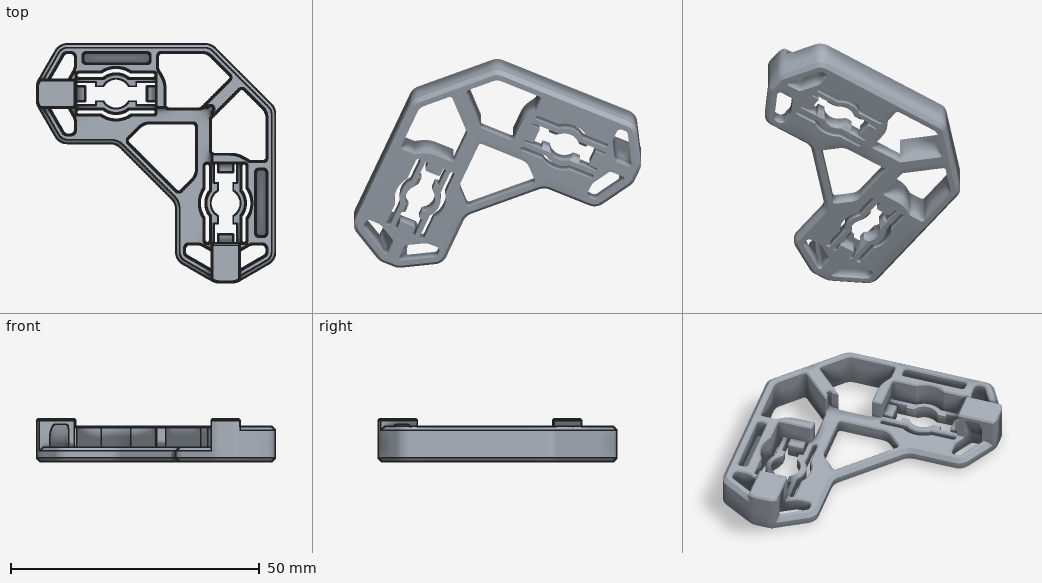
import cadquery as cq
import math

half_size = 24.0
block_height = 8.6
wall_height = 7.1
plate_height = 2.95
outer_chamfer = 0.75
rim_chamfer = 0.3
outer_radius = 2.8
blank_half_size = half_size + 2.4

arm_width = 20.0
arm_center_y = half_size - arm_width / 2
arm_inner_y = half_size - arm_width
tip_half_width = 2.0
tip_angle = math.radians(60)
outer_corner = 11.05
inner_corner = -7.95
frame_width = 1.85

recess_limit = 11.1
relief_center = 10.95
relief_radius = 0.55

cavity_center_x = -8.0
cavity_half_length = 7.9
slot_outer = 4.2
slot_inner = 3.2
slot_outer_radius = 5.15
slot_inner_radius = 4.15
slot_end_radius = 0.45
beam_chamfer = 0.2
opening_half_width = 2.25
tab_half_length = 4.1
tab_inner = 1.5
hole_radius = 3.0
peg_half_width = 1.65
peg_length = 1.8
peg_chamfer = 0.25

block_half_width = 2.95
block_inner_x = -16.1
block_chamfer = 0.35
notch_height = 7.5
notch_back_height = 2.9
notch_depth = 1.75
end_window_radius = 0.85

end_window_wall_x = -16.3
end_window_neck_x = -17.55
small_radius = 0.6
back_wall_x = 1.95
back_wall_neck_x = 0.5
back_wall_bend_y = 16.35
back_wall_bend_radius = 5.3
frame_inner_radius = 2.3
rib_half_width = 1.5
plate_strip = 3.1
throat_offset = 10.4
pocket_center_x = -7.9
pocket_length = 13.25
pocket_width = 1.95
pocket_floor = 2.95
pocket_radius = 0.6


def rounded_profile(corners, z=0.0):
    """Closed outline through (x, y, radius) corners, each rounded by a tangent arc."""
    stretches = []
    for i, (x, y, radius) in enumerate(corners):
        corner = cq.Vector(x, y)
        before = (cq.Vector(*corners[i - 1][:2]) - corner).normalized()
        after = (cq.Vector(*corners[(i + 1) % len(corners)][:2]) - corner).normalized()
        half_angle = before.getAngle(after) / 2
        reach = radius / math.tan(half_angle)
        middle = (before + after).normalized() * (radius / math.sin(half_angle) - radius)
        stretches.append((corner + before * reach, corner + middle, corner + after * reach))
    start = stretches[0][2]
    outline = cq.Workplane("XY").workplane(offset=z).moveTo(start.x, start.y)
    for first, middle, last in stretches[1:] + stretches[:1]:
        outline = outline.lineTo(first.x, first.y)
        outline = outline.threePointArc((middle.x, middle.y), (last.x, last.y))
    return outline.close()


def box(x_min, x_max, y_min, y_max, z_min, z_max):
    size = (x_max - x_min, y_max - y_min, z_max - z_min)
    return cq.Workplane("XY").box(*size, centered=False).translate((x_min, y_min, z_min))


def slab(height):
    """Square blank that reaches past the outline on all sides."""
    return box(-blank_half_size, blank_half_size, -blank_half_size, blank_half_size, 0, height)


def flip(shape):
    """Mirror image in the plane X = Y."""
    return shape.mirror("YZ").rotate((0, 0, 0), (0, 0, 1), -90)


def cut_both(body, cutter):
    return body.cut(cutter).cut(flip(cutter))


def outer_profile():
    tip_run = (arm_width / 2 - tip_half_width) / math.tan(tip_angle)
    shoulder_x = tip_run - half_size
    arm = [
        (outer_corner, half_size),
        (shoulder_x, half_size),
        (-half_size, arm_center_y + tip_half_width),
        (-half_size, arm_center_y - tip_half_width),
        (shoulder_x, arm_inner_y),
        (inner_corner, arm_inner_y),
    ]
    other_arm = [(y, x) for x, y in reversed(arm)]
    return rounded_profile([(x, y, outer_radius) for x, y in arm + other_arm])


def envelope(height, top_chamfer):
    """Outer outline up to the height, chamfered at its bottom and top edges."""
    shape = outer_profile().extrude(height)
    return shape.faces("<Z").edges().chamfer(outer_chamfer).faces(">Z").edges().chamfer(top_chamfer)


def end_window(side):
    """Window beside the end block, on the +Y (1) or -Y (-1) side of the arm."""
    slope = math.tan(tip_angle)
    edge = frame_width / math.sin(tip_angle)
    far = arm_width / 2 - frame_width
    near = block_half_width - notch_depth

    def outer_x(v):
        return -half_size + (v - tip_half_width) / slope + edge

    def inner_x(v):
        return end_window_neck_x + (v - block_half_width) / slope

    bend = block_half_width + (end_window_wall_x - end_window_neck_x) * slope
    corners = [
        (outer_x(far), far, end_window_radius),
        (end_window_wall_x, far, end_window_radius),
        (end_window_wall_x, bend, outer_radius),
        (inner_x(near), near, end_window_radius),
        (outer_x(near), near, small_radius),
    ]
    placed = [(x, arm_center_y + side * v, radius) for x, v, radius in corners]
    return rounded_profile(placed)


def corner_window(lower_y):
    """Window between the back wall of the cavity, the outer frame and the rib, down to lower_y."""
    top = half_size - frame_width
    frame_sum = half_size + outer_corner - frame_width * math.sqrt(2)
    rib_gap = rib_half_width * math.sqrt(2)
    neck_y = back_wall_bend_y + (back_wall_x - back_wall_neck_x) * math.tan(tip_angle)
    corners = [
        (back_wall_neck_x, top, small_radius),
        (frame_sum - top, top, frame_inner_radius),
        ((frame_sum - rib_gap) / 2, (frame_sum + rib_gap) / 2, small_radius),
        (lower_y - rib_gap, lower_y, small_radius),
        (back_wall_x, lower_y, small_radius),
        (back_wall_x, back_wall_bend_y, back_wall_bend_radius),
        (back_wall_neck_x, neck_y, small_radius),
    ]
    return rounded_profile(corners).extrude(block_height)


def inner_window():
    """Window in the plate between the two arms."""
    top = recess_limit - plate_strip
    frame_sum = inner_corner + arm_inner_y + frame_width * math.sqrt(2)
    low = (frame_sum - throat_offset) / 2
    high = (frame_sum + throat_offset) / 2
    corners = [
        (top, top, small_radius),
        (top - throat_offset, top, outer_radius),
        (low, high, small_radius),
        (high, low, small_radius),
        (top, top - throat_offset, outer_radius),
    ]
    return rounded_profile(corners).extrude(block_height)


def pocket():
    center = (pocket_center_x, half_size - frame_width - pocket_width / 2)
    shape = cq.Workplane("XY").center(*center).rect(pocket_length, pocket_width)
    shape = shape.extrude(block_height).edges("|Z").fillet(pocket_radius)
    return shape.translate((0, 0, pocket_floor))


def at_cavity(shape):
    return shape.translate((cavity_center_x, arm_center_y, 0))


def slot():
    """Bulged slot on the +Y side of the cavity center."""
    outer_bulge = math.sqrt(slot_outer_radius**2 - slot_outer**2)
    inner_bulge = math.sqrt(slot_inner_radius**2 - slot_inner**2)
    shape = (
        cq.Workplane("XY")
        .moveTo(-cavity_half_length, slot_inner)
        .lineTo(-inner_bulge, slot_inner)
        .threePointArc((0, slot_inner_radius), (inner_bulge, slot_inner))
        .lineTo(cavity_half_length, slot_inner)
        .lineTo(cavity_half_length, slot_outer)
        .lineTo(outer_bulge, slot_outer)
        .threePointArc((0, slot_outer_radius), (-outer_bulge, slot_outer))
        .lineTo(-cavity_half_length, slot_outer)
        .close()
        .extrude(plate_height)
    )
    shape = shape.edges("|Z and (<X or >X)").fillet(slot_end_radius)
    return shape


def opening():
    """Central opening between the two spring beams, with the end pegs left standing."""
    flared_half_width = opening_half_width + beam_chamfer
    shape = (
        cq.Workplane("YZ")
        .moveTo(-opening_half_width, 0)
        .lineTo(-opening_half_width, plate_height - beam_chamfer)
        .lineTo(-flared_half_width, plate_height)
        .lineTo(flared_half_width, plate_height)
        .lineTo(opening_half_width, plate_height - beam_chamfer)
        .lineTo(opening_half_width, 0)
        .close()
        .extrude(cavity_half_length, both=True)
    )
    tabs = (
        cq.Workplane("YZ")
        .moveTo(tab_inner, block_height)
        .lineTo(tab_inner, opening_half_width - tab_inner)
        .lineTo(opening_half_width, 0)
        .lineTo(slot_inner, 0)
        .lineTo(slot_inner, block_height)
        .close()
        .extrude(tab_half_length, both=True)
    )
    shape = shape.cut(tabs).cut(tabs.mirror("XZ"))
    shape = shape.union(cq.Workplane("XY").circle(hole_radius).extrude(block_height))
    peg = box(
        cavity_half_length - peg_length, cavity_half_length,
        -peg_half_width, peg_half_width,
        0, plate_height,
    )
    peg = peg.edges("<X and |Z").chamfer(peg_chamfer).faces(">Z").edges("not >X").chamfer(peg_chamfer)
    return shape.cut(peg).cut(peg.mirror("YZ"))


def cavity_recess():
    """Space above the plate inside the walls of the cavity."""
    shape = box(-cavity_half_length, cavity_half_length, -slot_outer, slot_outer, 0, block_height)
    shape = shape.edges("|Z and >Y").fillet(slot_end_radius)
    bulge = cq.Workplane("XY").circle(slot_outer_radius).extrude(block_height)
    corner = (cavity_center_x + cavity_half_length, recess_limit)
    bevel = cq.Workplane("XY").center(*corner).polyline(
        [(0, 0), (rim_chamfer, 0), (0, rim_chamfer)]
    )
    bevel = bevel.close().extrude(block_height)
    return at_cavity(shape.union(bulge)).union(bevel)


def center_recess():
    """Low area between the arms, with a round relief in its corner."""
    shape = box(-2 * half_size, recess_limit, -2 * half_size, recess_limit, 0, block_height)
    relief = cq.Workplane("XY").center(relief_center, relief_center).circle(relief_radius)
    return shape.union(relief.extrude(block_height))


def end_block():
    body = box(
        -half_size - 0.5, block_inner_x,
        arm_center_y - block_half_width, arm_center_y + block_half_width,
        0, block_height,
    )
    body = body.edges("|Z and >X and <Y").chamfer(block_chamfer)
    body = body.faces(">Z").edges().chamfer(block_chamfer)
    return body.intersect(envelope(block_height, block_chamfer))


def notch(side):
    """Hollow in the flank of the end block, whose back wall leans out to meet the flank."""
    profile = end_window(side)
    shift = cq.Vector(
        notch_depth / math.tan(tip_angle),
        side * notch_depth,
        notch_height - notch_back_height,
    )
    leaning = cq.Solid.extrudeLinear(profile.val(), [], shift)
    shape = profile.extrude(notch_back_height).union(leaning.translate((0, 0, notch_back_height)))
    flank = box(
        -half_size, block_inner_x,
        arm_center_y - block_half_width, arm_center_y + block_half_width,
        0, block_height,
    )
    return shape.intersect(flank)


plate = slab(plate_height)
plate_cutters = [
    end_window(1).extrude(block_height),
    end_window(-1).extrude(block_height),
    corner_window(recess_limit),
    at_cavity(slot()),
    at_cavity(slot().mirror("XZ")),
]
for cutter in plate_cutters:
    plate = cut_both(plate, cutter)
plate = plate.cut(inner_window()).faces(">Z").edges().chamfer(rim_chamfer)
plate = cut_both(plate, at_cavity(opening()))
plate = plate.intersect(envelope(plate_height, outer_chamfer))

walls = slab(wall_height).cut(center_recess())
wall_cutters = [
    cavity_recess(),
    end_window(1).extrude(block_height),
    corner_window(recess_limit - frame_width),
    pocket(),
]
for cutter in wall_cutters:
    walls = cut_both(walls, cutter)
walls = walls.faces(">Z").edges().chamfer(rim_chamfer)
walls = walls.intersect(envelope(wall_height, outer_chamfer))

block = end_block()
result = plate.union(walls).union(block).union(flip(block))
for side in (1, -1):
    result = cut_both(result, notch(side))